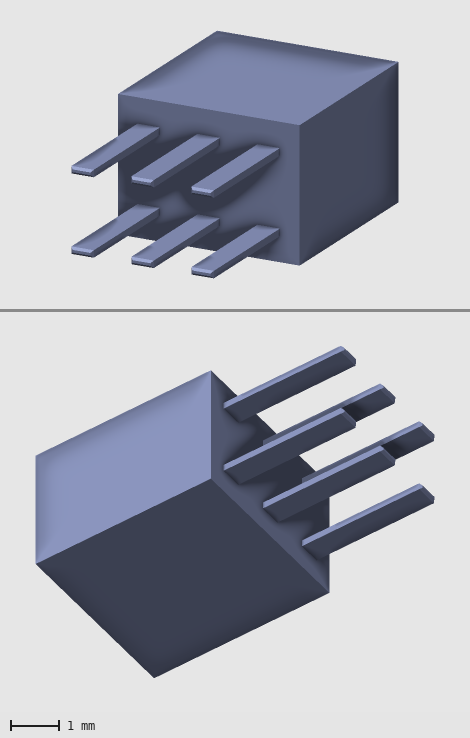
import cadquery as cq

body_width = 4.19
body_length = 4.4
body_height = 3.05

overall_length = 7.4
pin_width = 0.52
pin_thickness = 0.16
column_pitch = 1.385
row_pitch = 1.75
columns = 3
rows = 2
tip_chamfer = 0.05

pin_length = overall_length - body_length


def make_housing():
    """Plain block with its pin face on Y = 0."""
    return cq.Workplane("XY").box(body_width, body_length, body_height, centered=(True, False, True))


def make_pins():
    """Grid of flat pins pointing to -Y, each with a chamfered tip."""
    return (
        cq.Workplane("XZ")
        .rarray(column_pitch, row_pitch, columns, rows)
        .rect(pin_width, pin_thickness)
        .extrude(pin_length)
        .faces("<Y")
        .edges()
        .chamfer(tip_chamfer)
    )


result = make_housing().union(make_pins())